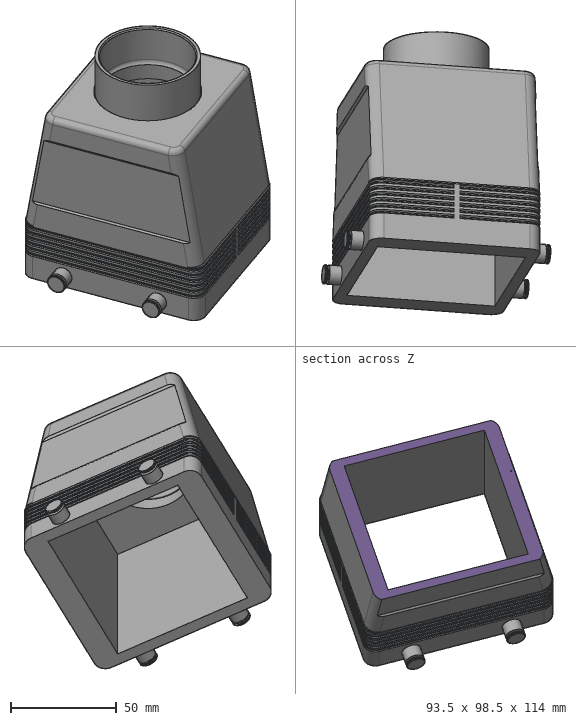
import cadquery as cq
import math

length_x = 93.5
width_y = 82.5
body_height = 94.0
total_height = 114.0

base_height = 30.0
shoulder_height = 0.8
shoulder_inset = 0.5
side_taper = 9.4
corner_radius = 6.0
top_radius = 3.0

cavity_x = 69.0
cavity_y = 71.6
roof_thickness = 8.0

groove_count = 6
groove_pitch = 3.0
first_groove_z = 12.7
groove_lower_flank = 0.5
groove_floor = 0.6
groove_upper_flank = 0.65
groove_depth = 0.45
groove_gap = 3.0

recess_bottom = 43.0
recess_top = 81.2
recess_depth = 0.9
recess_bottom_slope = 0.8
recess_top_slope = 1.3

neck_diameter = 50.0
neck_bore = 45.6
neck_rim_chamfer = 0.6
entry_bore = 43.5
neck_bore_end_radius = 3.0
neck_gap_diameter = 51.0
neck_gap_depth = 1.0

pin_spacing = 49.5
pin_z = 6.1
pin_diameter = 9.2
pin_neck_diameter = 5.0
pin_tip_y = 49.25
pin_head_thickness = 1.3
pin_head_chamfer = 0.4
pin_neck_length = 0.9
pin_root_overlap = 2.0

half_x = length_x / 2
half_y = width_y / 2
taper_start_x = half_x - shoulder_inset
taper_start_z = base_height + shoulder_height
taper_slope = math.tan(math.radians(side_taper))


def tapered_half_x(z):
    """Half length of the leaning sides at height z."""
    return taper_start_x - (z - taper_start_z) * taper_slope


def extrude_along_y(half_profile, depth):
    """Mirror a half profile of (x, z) points and extrude it evenly about Y = 0."""
    mirrored = [(-x, z) for x, z in reversed(half_profile)]
    return cq.Workplane("XZ").polyline(half_profile + mirrored).close().extrude(depth / 2, both=True)


def base_block(z, height, inset=0, taper=0):
    """Slab with the outline of the straight lower part, shrunk by inset and then by a taper."""
    outline = cq.Sketch().rect(length_x - 2 * inset, width_y - 2 * inset)
    outline = outline.vertices().fillet(corner_radius - inset)
    return cq.Workplane("XY", origin=(0, 0, z)).placeSketch(outline).extrude(height, taper=taper)


def make_shell():
    base = base_block(0, base_height)
    shoulder_angle = math.degrees(math.atan(shoulder_inset / shoulder_height))
    shoulder = base_block(base_height, shoulder_height, taper=shoulder_angle)
    upper_profile = [
        (taper_start_x, base_height),
        (taper_start_x, taper_start_z),
        (tapered_half_x(body_height), body_height),
    ]
    upper = extrude_along_y(upper_profile, width_y)
    side_corners = upper.edges("not(|X or |Y)")
    upper = side_corners.fillet(corner_radius)
    upper = upper.faces(">Z").edges().fillet(top_radius)
    return base.union(shoulder).union(upper)


def make_cavity():
    return cq.Workplane("XY").rect(cavity_x, cavity_y).extrude(body_height - roof_thickness)


def make_groove(z):
    """Ring groove with its lower edge at z, interrupted in the middle of each X side."""
    floor_z = z + groove_lower_flank
    mouth_height = groove_lower_flank + groove_floor + groove_upper_flank
    lower_angle = math.degrees(math.atan(groove_depth / groove_lower_flank))
    upper_angle = math.degrees(math.atan(groove_depth / groove_upper_flank))
    upper_core = base_block(-z - mouth_height, groove_upper_flank, taper=upper_angle).mirror("XY")
    gap = cq.Workplane("XY", origin=(0, 0, z)).box(2 * length_x, groove_gap, 2 * mouth_height)
    return (
        base_block(z, mouth_height)
        .cut(base_block(z, groove_lower_flank, taper=lower_angle))
        .cut(base_block(floor_z, groove_floor, inset=groove_depth))
        .cut(upper_core)
        .cut(gap)
    )


def make_recess(side):
    """Cutter for the shallow recess on the Y side given by side = -1 or +1."""
    outer_y = side * half_y
    floor_y = side * (half_y - recess_depth)
    section = [
        (outer_y, recess_bottom),
        (floor_y, recess_bottom + recess_bottom_slope),
        (floor_y, recess_top - recess_top_slope),
        (outer_y, recess_top),
    ]
    return cq.Workplane("YZ").polyline(section).close().extrude(half_x, both=True)


def make_neck():
    return (
        cq.Workplane("XY", origin=(0, 0, body_height - roof_thickness))
        .circle(neck_diameter / 2)
        .extrude(total_height - body_height + roof_thickness)
    )


def make_neck_gap():
    return (
        cq.Workplane("XY", origin=(0, 0, body_height - neck_gap_depth))
        .circle(neck_gap_diameter / 2)
        .circle(neck_diameter / 2)
        .extrude(neck_gap_depth)
    )


def make_entry_bore():
    """Stepped bore through the neck and the roof."""
    bore_r = neck_bore / 2
    entry_r = entry_bore / 2
    sweep = math.acos(1 - (bore_r - entry_r) / neck_bore_end_radius)
    arc_top_z = body_height + neck_bore_end_radius * math.sin(sweep)
    arc_middle = (
        bore_r - neck_bore_end_radius * (1 - math.cos(sweep / 2)),
        arc_top_z - neck_bore_end_radius * math.sin(sweep / 2),
    )
    section = (
        cq.Workplane("XZ")
        .moveTo(0, body_height - roof_thickness)
        .lineTo(entry_r, body_height - roof_thickness)
        .lineTo(entry_r, body_height)
        .threePointArc(arc_middle, (bore_r, arc_top_z))
        .lineTo(bore_r, total_height - neck_rim_chamfer)
        .lineTo(bore_r + neck_rim_chamfer, total_height)
        .lineTo(0, total_height)
        .close()
    )
    return section.revolve(360, (0, 0), (0, 1))


def make_pin(x, side):
    """Locking pin with a grooved head, on the Y side given by side = -1 or +1."""
    pin_r = pin_diameter / 2
    neck_r = pin_neck_diameter / 2
    head_y = pin_tip_y - pin_head_thickness
    neck_y = head_y - pin_neck_length
    root_y = half_y - pin_root_overlap
    section = [
        (0, root_y),
        (pin_r, root_y),
        (pin_r, neck_y),
        (neck_r, neck_y),
        (neck_r, head_y),
        (pin_r - pin_head_chamfer, head_y),
        (pin_r, head_y + pin_head_chamfer),
        (pin_r, pin_tip_y - pin_head_chamfer),
        (pin_r - pin_head_chamfer, pin_tip_y),
        (0, pin_tip_y),
    ]
    pin = cq.Workplane("XY").polyline(section).close().revolve(360, (0, 0), (0, 1))
    if side < 0:
        pin = pin.mirror("XZ")
    return pin.translate((x, 0, pin_z))


hood = make_shell()
for index in range(groove_count):
    hood = hood.cut(make_groove(first_groove_z + index * groove_pitch))
for side in (-1, 1):
    hood = hood.cut(make_recess(side))
hood = hood.cut(make_cavity())
hood = hood.union(make_neck()).cut(make_neck_gap()).cut(make_entry_bore())
for side in (-1, 1):
    for x in (-pin_spacing / 2, pin_spacing / 2):
        hood = hood.union(make_pin(x, side))

result = hood